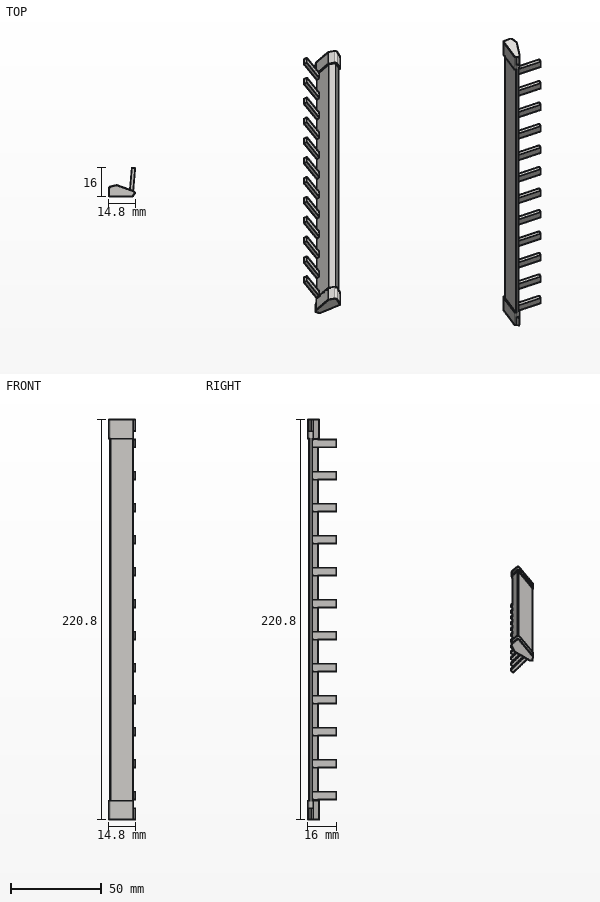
import cadquery as cq
import math

length = 220.8
cap_width = 14.8
total_depth = 16.0

heel_height = 5.3
peak_x = 4.5
peak_height = 6.5
shoulder_x = 13.7
shoulder_height = 3.0

cap_length = 10.5
cap_base_radius = 0.7
cap_heel_radius = 1.5
cap_edge_chamfer = 0.2
tip_length = 6.5
tip_height = 2.0

bar_inset = 0.7
bar_corner_chamfer = 0.5

tooth_count = 12
tooth_pitch = 17.7
tooth_height = 4.5
tooth_thickness = 2.0
tooth_lean = 5.0
tooth_root_x = 12.5
tooth_root_y = 2.6


def wedge(inset, height):
    """Sharp-cornered wedge, with its heel, base and back set in by the given amount."""
    return (
        cq.Workplane("XY")
        .moveTo(inset, inset)
        .lineTo(shoulder_x, inset)
        .lineTo(shoulder_x, shoulder_height - inset)
        .lineTo(peak_x, peak_height - inset)
        .lineTo(inset, heel_height - inset)
        .close()
        .extrude(height)
    )


def end_cap():
    """Cap standing on z = 0 with its outer end at z = cap_length."""
    body = wedge(0, cap_length)
    body = body.faces("<Y").edges("|Z").fillet(cap_base_radius)
    body = body.faces("<X").edges("|Z and >Y").fillet(cap_heel_radius)
    tip = (
        cq.Workplane("XY", origin=(0, 0, cap_length - tip_length))
        .moveTo(shoulder_x, cap_base_radius)
        .lineTo(cap_width, tip_height)
        .lineTo(shoulder_x, shoulder_height)
        .close()
        .extrude(tip_length)
    )
    return body.union(tip).faces(">Z").edges().chamfer(cap_edge_chamfer)


def tooth(center_z):
    """Flat tooth leaning towards +X whose highest corner reaches the full depth."""
    lean = math.radians(tooth_lean)
    reach = (total_depth - tooth_root_y - tooth_thickness / 2 * math.sin(lean)) / math.cos(lean)
    return (
        cq.Workplane("XY")
        .box(tooth_thickness, reach, tooth_height, centered=(True, False, True))
        .rotate((0, 0, 0), (0, 0, 1), -tooth_lean)
        .translate((tooth_root_x, tooth_root_y, center_z))
    )


bar_length = length - 2 * cap_length
bar = wedge(bar_inset, bar_length).faces("<Y").edges("|Z").chamfer(bar_corner_chamfer)
result = bar.translate((0, 0, -bar_length / 2))

upper_cap = end_cap().translate((0, 0, bar_length / 2))
result = result.union(upper_cap).union(upper_cap.mirror("XY"))

for index in range(tooth_count):
    result = result.union(tooth((index - (tooth_count - 1) / 2) * tooth_pitch))